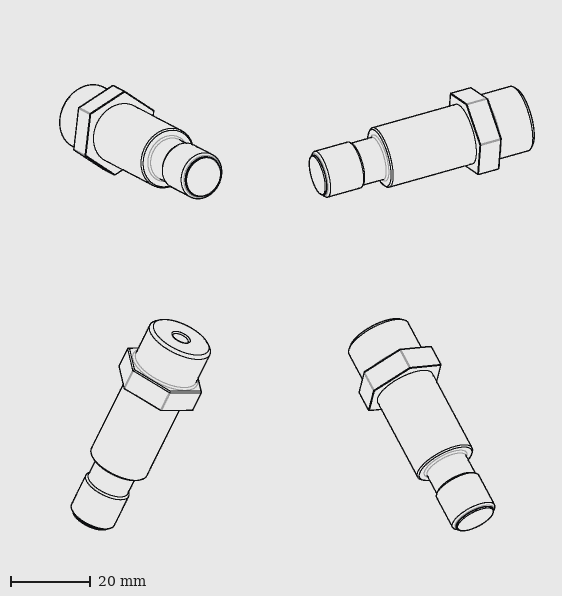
import cadquery as cq
import math

length = 56.0
hex_start = 9.95
hex_end = 15.9
body_end = 39.05
tip_start = 45.4

head_radius = 8.4
head_chamfer = 0.8
head_fillet = 0.5

across_flats = 19.0
hex_half_angle = 30
hex_turn = 7.5
hex_corner_radius = 0.3
hex_front_chamfer = 0.35
hex_back_chamfer = 0.15

body_radius = 15.5 / 2
body_chamfer = 0.4
neck_radius = 11.0 / 2
neck_fillet = 0.5
tip_radius = 12.0 / 2
tip_chamfer = 0.5
tip_edge_break_length = 0.15
tip_edge_break_depth = 0.3
end_disc_radius = 5.05
end_disc_length = 0.4

bore_radius = 2.1
bore_depth = 11.2
countersink = 0.4
pin_radius = 1.85
pin_shoulder_radius = 1.45
pin_face_radius = 0.95
pin_gap = 4.5
pin_shoulder_length = 0.7
pin_bevel_length = 0.45
dimple_radius = 0.3
dimple_depth = 0.3


def turned_shank():
    """Head, body, neck and tip as one turned solid."""
    tip_shoulder = length - end_disc_length
    chamfer_end = tip_shoulder - tip_edge_break_length
    chamfer_end_radius = tip_radius - tip_chamfer
    profile = (
        cq.Workplane("XY")
        .lineTo(0, head_radius - head_chamfer)
        .lineTo(head_chamfer, head_radius)
        .lineTo(hex_start - head_fillet, head_radius)
        .radiusArc((hex_start, head_radius + head_fillet), -head_fillet)
        .lineTo(hex_end, head_radius + head_fillet)
        .lineTo(hex_end, body_radius)
        .lineTo(body_end - body_chamfer, body_radius)
        .lineTo(body_end, body_radius - body_chamfer)
        .lineTo(body_end, neck_radius + neck_fillet)
        .radiusArc((body_end + neck_fillet, neck_radius), -neck_fillet)
        .lineTo(tip_start, neck_radius)
        .lineTo(tip_start + tip_radius - neck_radius, tip_radius)
        .lineTo(chamfer_end - tip_chamfer, tip_radius)
        .lineTo(chamfer_end, chamfer_end_radius)
        .lineTo(tip_shoulder, chamfer_end_radius - tip_edge_break_depth)
        .lineTo(tip_shoulder, end_disc_radius)
        .lineTo(length, end_disc_radius)
        .lineTo(length, 0)
        .close()
    )
    return profile.revolve(360, (0, 0, 0), (1, 0, 0))


def hex_collar():
    """Hexagonal wrench collar with rounded corners and bevelled rims."""
    corner_circle = across_flats / math.cos(math.radians(hex_half_angle))
    return (
        cq.Workplane("YZ", origin=(hex_start, 0, 0))
        .polygon(6, corner_circle)
        .extrude(hex_end - hex_start)
        .faces("<X").chamfer(hex_front_chamfer)
        .faces(">X").chamfer(hex_back_chamfer)
        .edges("|X").fillet(hex_corner_radius)
        .rotate((0, 0, 0), (1, 0, 0), hex_half_angle - hex_turn)
    )


def bore_with_pin():
    """Solid to remove from the head: the countersunk bore less its pin."""
    pin_shoulder = pin_gap + pin_bevel_length
    profile = (
        cq.Workplane("XY")
        .lineTo(0, bore_radius + countersink)
        .lineTo(countersink, bore_radius)
        .lineTo(bore_depth, bore_radius)
        .lineTo(bore_depth, pin_radius)
        .lineTo(pin_shoulder + pin_shoulder_length, pin_radius)
        .lineTo(pin_shoulder, pin_shoulder_radius)
        .lineTo(pin_gap, pin_face_radius)
        .lineTo(pin_gap, dimple_radius)
        .lineTo(pin_gap + dimple_depth, dimple_radius)
        .lineTo(pin_gap + dimple_depth, 0)
        .close()
    )
    return profile.revolve(360, (0, 0, 0), (1, 0, 0))


result = turned_shank().union(hex_collar()).cut(bore_with_pin())